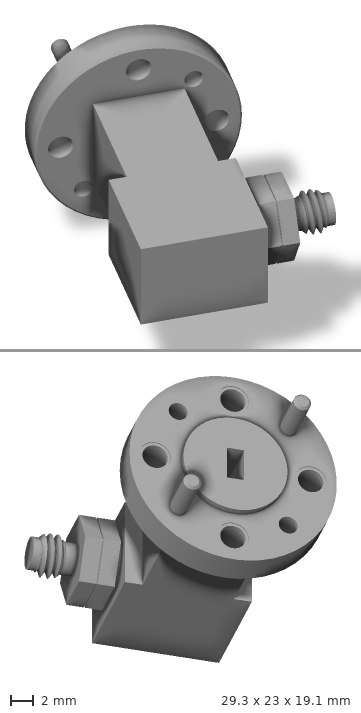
import cadquery as cq
import math


flange_diameter = 19.05
flange_thickness = 3.32
flange_chamfer = 0.2
boss_diameter = 9.55
boss_height = 0.75

bolt_circle_diameter = 14.3
screw_hole_diameter = 2.32
screw_recess_diameter = 2.88
screw_recess_depth = 0.1
pin_hole_diameter = 1.73
pin_diameter = 1.61
pin_projection = 4.7
pin_tip_chamfer = 0.23

body_end = 24.65
block_start = 14.25
body_size = 8.4
block_width = 11.65
guide_width = 1.6
guide_height = 3.1

connector_x = 18.32
block_side = block_width / 2
collar_diameter = 5.85
nut_start = 6.17
nut_end = 9.45
nut_across_corners = 8.05
nut_groove_width = 0.12
nut_groove_depth = 0.12
stem_diameter = 2.97
overall_width = 23.0
stem_end = overall_width - flange_diameter / 2

thread_start = 10.48
thread_end = 12.77
thread_diameter = 4.02
thread_pitch = 0.7
thread_base_width = 0.68
thread_crest_y = 11.33
thread_root_overlap = 0.1
blank_allowance = 0.18


def disc(start, end, diameter):
    """Cylinder along X, centred on the waveguide axis."""
    return cq.Workplane("YZ", origin=(start, 0, 0)).circle(diameter / 2).extrude(end - start)


def bolt_circle_rods(start, end, diameter, angles):
    """Rods along X on the bolt circle; angles run from +Y towards +Z."""
    radius = bolt_circle_diameter / 2
    points = []
    for angle in angles:
        turn = math.radians(angle)
        points.append((radius * math.cos(turn), radius * math.sin(turn)))
    plane = cq.Workplane("YZ", origin=(start, 0, 0))
    return plane.pushPoints(points).circle(diameter / 2).extrude(end - start)


def make_flange():
    screw_angles = (0, 90, 180, 270)
    pin_hole_angles = (45, 225)
    pin_angles = (135, 315)
    flange = disc(0, flange_thickness, flange_diameter).faces(">X").edges().chamfer(flange_chamfer)
    flange = flange.union(disc(-boss_height, flange_thickness / 2, boss_diameter))
    flange = flange.cut(bolt_circle_rods(0, flange_thickness, screw_hole_diameter, screw_angles))
    flange = flange.cut(bolt_circle_rods(0, screw_recess_depth, screw_recess_diameter, screw_angles))
    flange = flange.cut(bolt_circle_rods(0, flange_thickness, pin_hole_diameter, pin_hole_angles))
    pins = bolt_circle_rods(-pin_projection, flange_thickness, pin_diameter, pin_angles)
    return flange.union(pins.faces("<X").edges().chamfer(pin_tip_chamfer))


def beam(start, end, width, height):
    """Rectangular bar along X, centred on the waveguide axis."""
    return cq.Workplane("YZ", origin=(start, 0, 0)).rect(width, height).extrude(end - start)


def connector_plane(station):
    """Plane across the connector axis: local x is +X, normal is +Y."""
    return cq.Plane(origin=(connector_x, station, 0), xDir=(1, 0, 0), normal=(0, 1, 0))


def turned(start, end, diameter):
    """Cylinder along the connector axis."""
    return cq.Workplane(connector_plane(start)).circle(diameter / 2).extrude(end - start)


def hex_bar(start, end, across_corners):
    """Hexagonal bar along the connector axis with corners on the X direction."""
    return cq.Workplane(connector_plane(start)).polygon(6, across_corners).extrude(end - start)


def make_nut():
    groove_start = (nut_start + nut_end - nut_groove_width) / 2
    groove_end = groove_start + nut_groove_width
    inner_corners = nut_across_corners - 2 * nut_groove_depth / math.cos(math.pi / 6)
    nut = hex_bar(nut_start, nut_end, nut_across_corners)
    ring = hex_bar(groove_start, groove_end, nut_across_corners)
    ring = ring.cut(hex_bar(groove_start, groove_end, inner_corners))
    return nut.cut(ring)


def make_thread():
    """Right-hand V-thread, trimmed by a blank whose ends are chamfered down to the stem."""
    stem_radius = stem_diameter / 2
    crest_radius = thread_diameter / 2
    root_radius = stem_radius - thread_root_overlap
    half_base = thread_base_width / 2
    turns_below_crest = 2
    turns = 5
    length = turns * thread_pitch
    ridge = (
        cq.Workplane("XZ")
        .polyline([(root_radius, -half_base), (crest_radius, 0), (root_radius, half_base)])
        .close()
        .sweep(cq.Workplane(obj=cq.Wire.makeHelix(thread_pitch, length, root_radius)), isFrenet=True)
    )
    first_crest = thread_crest_y - turns_below_crest * thread_pitch
    ridge = ridge.rotate((0, 0, 0), (1, 0, 0), -90).translate((connector_x, first_crest, 0))
    blank_radius = crest_radius + blank_allowance
    blank = turned(thread_start, thread_end, 2 * blank_radius)
    blank = blank.edges().chamfer(blank_radius - stem_radius)
    return ridge.intersect(blank)


def make_connector():
    collar = turned(block_side, nut_start, collar_diameter)
    stem = turned(nut_end, stem_end, stem_diameter)
    return collar.union(make_nut()).union(stem).union(make_thread())


body = beam(flange_thickness, block_start, body_size, body_size)
block = beam(block_start, body_end, block_width, body_size)

waveguide = beam(-boss_height, connector_x, guide_width, guide_height)

result = make_flange().union(body).union(block).cut(waveguide).union(make_connector())